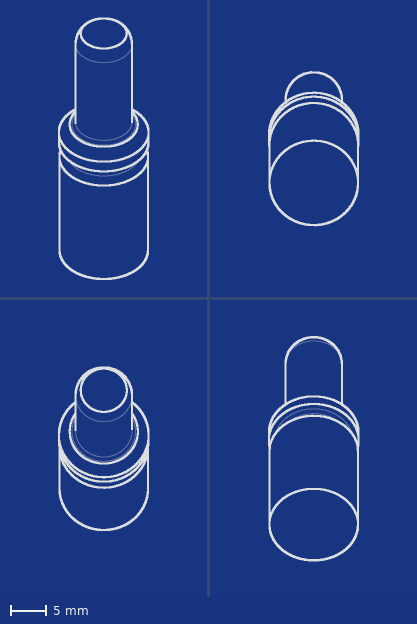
import cadquery as cq
import math

total_height = 40.5
body_top = 17.5
collar_bottom = 20.2
collar_rim_top = 22.05
shoulder_height = 23.5
pin_edge_height = 2.0

body_radius = 6.28
collar_radius = 6.35
groove_radius = 5.02
shoulder_radius = 4.8
pin_radius = 4.0

small_fillet = 0.5
groove_blend = 1.0
pin_edge_round = 3.0

cone_angle = math.radians(45)
cone_end_radius = groove_radius + groove_blend * (1 - math.cos(cone_angle))
cone_end_height = body_top + (body_radius - cone_end_radius) * math.tan(cone_angle)
groove_floor_bottom = cone_end_height + groove_blend * math.sin(cone_angle)

pin_edge_start = total_height - pin_edge_height
pin_edge_center = pin_radius - pin_edge_round
pin_tip_radius = pin_edge_center + math.sqrt(pin_edge_round**2 - pin_edge_height**2)


def arc_point(center_radius, center_height, arc_radius, angle):
    """Point (radius, height) on an arc at an angle measured from the outward direction."""
    return (
        center_radius + arc_radius * math.cos(angle),
        center_height + arc_radius * math.sin(angle),
    )


groove_blend_mid = arc_point(
    groove_radius + groove_blend, groove_floor_bottom, groove_blend, math.pi + cone_angle / 2
)
groove_fillet_mid = arc_point(
    groove_radius + small_fillet, collar_bottom - small_fillet, small_fillet, math.radians(135)
)
pin_root_mid = arc_point(
    pin_radius + small_fillet, shoulder_height + small_fillet, small_fillet, math.radians(225)
)
pin_edge_angle = math.asin(pin_edge_height / pin_edge_round)
pin_edge_mid = arc_point(pin_edge_center, pin_edge_start, pin_edge_round, pin_edge_angle / 2)

profile = (
    cq.Workplane("XZ")
    .moveTo(0, 0)
    .lineTo(body_radius, 0)
    .lineTo(body_radius, body_top)
    .lineTo(cone_end_radius, cone_end_height)
    .threePointArc(groove_blend_mid, (groove_radius, groove_floor_bottom))
    .lineTo(groove_radius, collar_bottom - small_fillet)
    .threePointArc(groove_fillet_mid, (groove_radius + small_fillet, collar_bottom))
    .lineTo(collar_radius, collar_bottom)
    .lineTo(collar_radius, collar_rim_top)
    .lineTo(shoulder_radius, shoulder_height)
    .lineTo(pin_radius + small_fillet, shoulder_height)
    .threePointArc(pin_root_mid, (pin_radius, shoulder_height + small_fillet))
    .lineTo(pin_radius, pin_edge_start)
    .threePointArc(pin_edge_mid, (pin_tip_radius, total_height))
    .lineTo(0, total_height)
    .close()
)

result = profile.revolve(360, (0, 0, 0), (0, 1, 0))